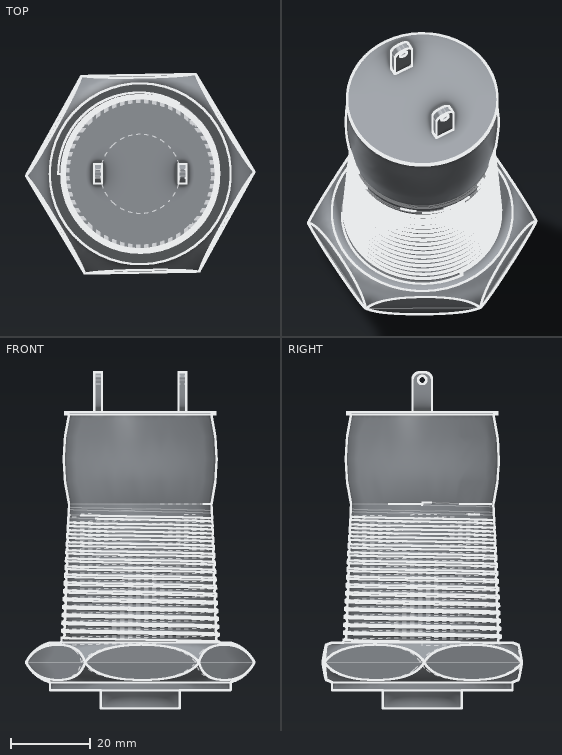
import cadquery as cq
import math

BUTTON_HEIGHT = 4.6
FLANGE_HEIGHT = 2.0
HEX_HEIGHT = 10.0
THREAD_HEIGHT = 35.0
BULGE_HEIGHT = 22.6
CAP_HEIGHT = 0.7
TERMINAL_HEIGHT = 10.0

FLANGE_BOTTOM = BUTTON_HEIGHT
HEX_BOTTOM = FLANGE_BOTTOM + FLANGE_HEIGHT
HEX_MIDDLE = HEX_BOTTOM + HEX_HEIGHT / 2
HEX_TOP = HEX_BOTTOM + HEX_HEIGHT
THREAD_TOP = HEX_TOP + THREAD_HEIGHT
CAP_BOTTOM = THREAD_TOP + BULGE_HEIGHT
CAP_TOP = CAP_BOTTOM + CAP_HEIGHT

BUTTON_RADIUS = 10.0
BUTTON_EDGE_RADIUS = 0.25
FLANGE_RADIUS = 22.9
FLANGE_EDGE_RADIUS = 0.25
THREAD_BOTTOM_RADIUS = 20.0
NECK_RADIUS = 18.0
BULGE_RADIUS = 19.4
CAP_RADIUS = 19.0

HEX_CORNER_RADIUS = 57.7 / 2
HEX_SIDES = 6
HEX_TURN = 1.0
HEX_DRAFT = 9.0
HEX_FACE_RADIUS = FLANGE_RADIUS
HEX_ARC_RADIUS = 26.3
HEX_ARC_HEIGHT = 3.2

THREAD_TURNS = 17.5
THREAD_PITCH = THREAD_HEIGHT / THREAD_TURNS
THREAD_START_ANGLE = 180
GROOVE_RADIUS = 0.8
GROOVE_TAPER = 2.0

TERMINAL_OFFSET = 10.6
TERMINAL_THICKNESS = 2.0
TERMINAL_WIDTH = 5.0
TERMINAL_TIP_FLAT = 1.0
TERMINAL_CORNER_RADIUS = (TERMINAL_WIDTH - TERMINAL_TIP_FLAT) / 2
TERMINAL_HOLE_DIAMETER = 2.0


def make_hexagon():
    """Hexagon whose flats lean in from the middle plane, inside a rounded turned outline."""
    angles = [math.radians(HEX_TURN + 360 / HEX_SIDES * i) for i in range(HEX_SIDES)]
    corners = [(HEX_CORNER_RADIUS * math.cos(a), HEX_CORNER_RADIUS * math.sin(a)) for a in angles]
    middle = cq.Workplane("XY").workplane(offset=HEX_MIDDLE).polyline(corners).close()
    upper = middle.extrude(HEX_HEIGHT / 2, taper=HEX_DRAFT)
    prism = upper.union(upper.mirror("XY", (0, 0, HEX_MIDDLE)))

    turned = (
        cq.Workplane("XZ")
        .moveTo(0, HEX_BOTTOM)
        .lineTo(HEX_FACE_RADIUS, HEX_BOTTOM)
        .threePointArc(
            (HEX_ARC_RADIUS, HEX_MIDDLE - HEX_ARC_HEIGHT),
            (HEX_CORNER_RADIUS, HEX_MIDDLE),
        )
        .threePointArc(
            (HEX_ARC_RADIUS, HEX_MIDDLE + HEX_ARC_HEIGHT),
            (HEX_FACE_RADIUS, HEX_TOP),
        )
        .lineTo(0, HEX_TOP)
        .close()
        .revolve(360, (0, 0), (0, 1))
        .rotate((0, 0, 0), (0, 0, 1), THREAD_START_ANGLE)
    )
    return turned.intersect(prism)


def make_flange():
    """Round seat under the hexagon."""
    return (
        cq.Workplane("XY")
        .workplane(offset=FLANGE_BOTTOM)
        .circle(FLANGE_RADIUS)
        .extrude(FLANGE_HEIGHT)
        .faces("<Z")
        .edges()
        .fillet(FLANGE_EDGE_RADIUS)
    )


def make_barrel():
    """Tapered thread blank with the bulging sleeve above it."""
    return (
        cq.Workplane("XZ")
        .moveTo(0, HEX_TOP)
        .lineTo(THREAD_BOTTOM_RADIUS, HEX_TOP)
        .lineTo(NECK_RADIUS, THREAD_TOP)
        .threePointArc((BULGE_RADIUS, (THREAD_TOP + CAP_BOTTOM) / 2), (NECK_RADIUS, CAP_BOTTOM))
        .lineTo(0, CAP_BOTTOM)
        .close()
        .revolve(360, (0, 0), (0, 1))
        .rotate((0, 0, 0), (0, 0, 1), THREAD_START_ANGLE)
    )


def make_thread_groove():
    """Round-section helix that starts on the -X side at the hexagon's top face."""
    path = cq.Wire.makeHelix(
        THREAD_PITCH, THREAD_HEIGHT, THREAD_BOTTOM_RADIUS, angle=-GROOVE_TAPER, lefthand=True
    )
    section = cq.Workplane("XZ", origin=(THREAD_BOTTOM_RADIUS, 0, 0)).circle(GROOVE_RADIUS)
    groove = section.sweep(cq.Workplane(path), isFrenet=True)
    return groove.rotate((0, 0, 0), (0, 0, 1), THREAD_START_ANGLE).translate((0, 0, HEX_TOP))


def make_housing():
    """Flange, hexagon and barrel in one piece; the thread groove also nicks the hexagon's top."""
    solid = make_hexagon().union(make_flange()).union(make_barrel())
    return solid.cut(make_thread_groove())


def make_button():
    """Round button against the underside of the flange."""
    return (
        cq.Workplane("XY")
        .circle(BUTTON_RADIUS)
        .extrude(BUTTON_HEIGHT)
        .faces("<Z")
        .edges()
        .fillet(BUTTON_EDGE_RADIUS)
    )


def make_cap():
    """Thin disc that closes the upper end of the barrel."""
    return cq.Workplane("XY").workplane(offset=CAP_BOTTOM).circle(CAP_RADIUS).extrude(CAP_HEIGHT)


def make_terminal(x):
    """Upright solder tab with rounded top corners and a cross hole."""
    hole_height = CAP_TOP + TERMINAL_HEIGHT - TERMINAL_CORNER_RADIUS
    tab = (
        cq.Workplane("XY")
        .workplane(offset=CAP_TOP)
        .center(x, 0)
        .rect(TERMINAL_THICKNESS, TERMINAL_WIDTH)
        .extrude(TERMINAL_HEIGHT)
        .faces(">Z")
        .edges("|X")
        .fillet(TERMINAL_CORNER_RADIUS)
    )
    hole = (
        cq.Workplane("YZ", origin=(x, 0, hole_height))
        .circle(TERMINAL_HOLE_DIAMETER / 2)
        .extrude(TERMINAL_THICKNESS, both=True)
    )
    return tab.cut(hole)


housing = make_housing()
button = make_button()
cap = make_cap()
terminals = [make_terminal(side * TERMINAL_OFFSET) for side in (-1, 1)]

result = cq.Compound.makeCompound(
    [housing.val(), button.val(), cap.val(), *[terminal.val() for terminal in terminals]]
)